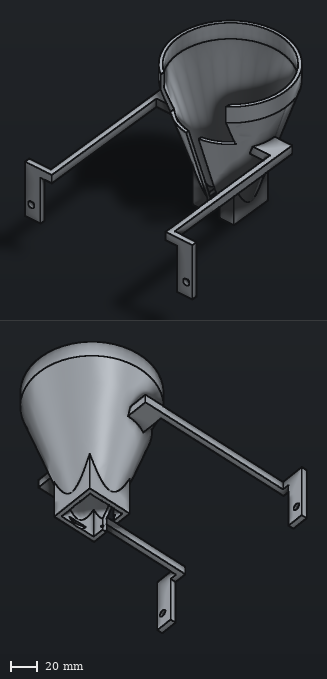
import cadquery as cq

total_height = 130.0
rim_height = 15.0
rim_radius = 53.5
wall = 3.0
cone_base_radius = 16.4
cone_height = total_height - rim_height

socket_size = 40.0
socket_height = 40.0
socket_opening = 32.0
recess_depth = 5.0

window_width = 63.0
window_bottom = 88.5
slot_width = 12.0

arm_thickness = 5.0
arm_height = 8.0
arm_top = 82.5
arm_outer_x = 60.0
arm_end_y = -142.5
root_length = 20.0
foot_outer_x = 81.0
foot_thickness = 5.0
leg_width = 15.0
leg_bottom = 31.5
screw_hole_diameter = 6.0
screw_hole_x = 75.0
screw_hole_z = 45.0


def box(x_range, y_range, z_range):
    """Axis-aligned box given by its limits."""
    (x0, x1), (y0, y1), (z0, z1) = x_range, y_range, z_range
    return cq.Workplane("XY").box(x1 - x0, y1 - y0, z1 - z0, centered=False).translate((x0, y0, z0))


def funnel_volume(inset):
    """Solid of revolution of the funnel, with its radii reduced by inset."""
    return (
        cq.Workplane("XZ")
        .polyline(
            [
                (0, 0),
                (cone_base_radius - inset, 0),
                (rim_radius - inset, cone_height),
                (rim_radius - inset, total_height),
                (0, total_height),
            ]
        )
        .close()
        .revolve(360, (0, 0), (0, 1))
    )


def socket():
    """Square block that encloses the lower tip of the funnel."""
    return cq.Workplane("XY").rect(socket_size, socket_size).extrude(socket_height)


def arm():
    """Right-hand arm: root pad at the funnel, long bar, outward foot and drilled leg."""
    arm_z = (arm_top - arm_height, arm_top)
    foot_y = (arm_end_y, arm_end_y + foot_thickness)
    arm_inner_x = arm_outer_x - arm_thickness
    root = box((0, arm_outer_x), (-root_length, 0), arm_z)
    bar = box((arm_inner_x, arm_outer_x), (arm_end_y, 0), arm_z)
    foot = box((arm_inner_x, foot_outer_x), foot_y, arm_z)
    leg = box((foot_outer_x - leg_width, foot_outer_x), foot_y, (leg_bottom, arm_top))
    screw_hole = (
        cq.Workplane("XZ", origin=(screw_hole_x, arm_end_y, screw_hole_z))
        .circle(screw_hole_diameter / 2)
        .extrude(-foot_thickness)
    )
    return root.union(bar).union(foot).union(leg).cut(screw_hole)


def socket_passage():
    """Square passage through the socket, with a recess at its foot that follows the outer cone."""
    square = cq.Workplane("XY").rect(socket_opening, socket_opening).extrude(socket_height)
    half_size = socket_size / 2
    recess_limits = (-half_size, half_size)
    recess = funnel_volume(0).intersect(box(recess_limits, recess_limits, (0, recess_depth)))
    return square.union(recess)


def front_openings():
    """Wide window down from the rim and a narrow slot down to the base, both on the -Y side."""
    window = box(
        (-window_width / 2, window_width / 2), (-rim_radius, 0), (window_bottom, total_height)
    )
    slot = box((-slot_width / 2, slot_width / 2), (-rim_radius, 0), (0, total_height))
    return window.union(slot)


right_arm = arm()
body = funnel_volume(0).union(socket()).union(right_arm).union(right_arm.mirror("YZ"))
result = body.cut(funnel_volume(wall)).cut(socket_passage()).cut(front_openings())